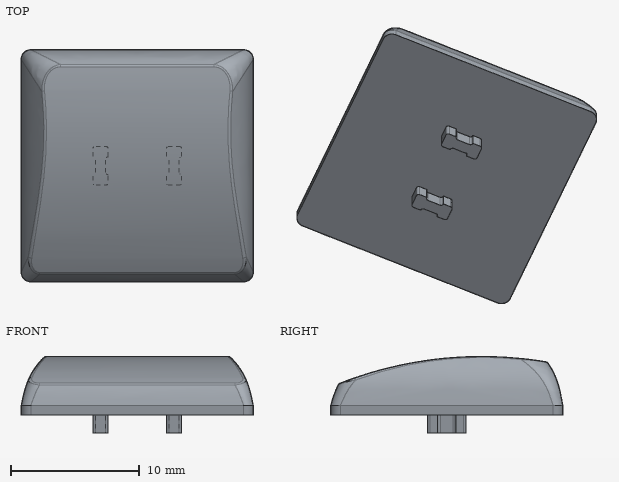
import cadquery as cq
import math

CAP_SIZE = 18.0
SKIRT_HEIGHT = 0.75
SKIRT_CORNER_RADIUS = 0.75

WALL_LEAN = 0.203
WALL_CURL = 0.0196
FRONT_LEAN_FACTOR = 1.45
BACK_LEAN_FACTOR = 0.85
CORNER_GROWTH = 0.7
SECTION_HEIGHTS = (0.0, 1.3, 2.6, 3.9)

CROWN_HEIGHT = 4.55
CROWN_RADIUS = 30.0
CROWN_CENTER_Y = 2.7
CROWN_EDGE_RADIUS = 0.3

PRONG_SPACING = 5.7
PRONG_WIDTH = 1.2
PRONG_LENGTH = 3.0
PRONG_HEIGHT = 1.4
PRONG_CORNER_RADIUS = 0.2
WAIST_LENGTH = 1.4
WAIST_DEPTH = 0.2


def wall_section(height):
    """Rounded rectangle of the domed walls at a height above the skirt."""
    inset = WALL_LEAN * height + WALL_CURL * height**3
    front_inset = FRONT_LEAN_FACTOR * inset
    back_inset = BACK_LEAN_FACTOR * inset
    return (
        cq.Sketch()
        .rect(CAP_SIZE - 2 * inset, CAP_SIZE - front_inset - back_inset)
        .vertices()
        .fillet(SKIRT_CORNER_RADIUS + CORNER_GROWTH * inset)
        .moved(cq.Location(cq.Vector(0, (front_inset - back_inset) / 2, SKIRT_HEIGHT + height)))
    )


def make_skirt():
    outline = cq.Sketch().rect(CAP_SIZE, CAP_SIZE).vertices().fillet(SKIRT_CORNER_RADIUS)
    return cq.Workplane("XY").placeSketch(outline).extrude(SKIRT_HEIGHT)


def make_dome():
    sections = [wall_section(height) for height in SECTION_HEIGHTS]
    walls = cq.Workplane("XY").placeSketch(*sections).loft()
    crown = (
        cq.Workplane("YZ")
        .center(CROWN_CENTER_Y, CROWN_HEIGHT - CROWN_RADIUS)
        .circle(CROWN_RADIUS)
        .extrude(CAP_SIZE / 2, both=True)
    )
    dome = walls.intersect(crown)
    return dome.faces(">Z").edges().fillet(CROWN_EDGE_RADIUS)


def make_prong(center_x):
    """Rounded bar, narrowed on both flanks by a waist with concave ends."""
    bar = (
        cq.Workplane("XY")
        .center(center_x, 0)
        .rect(PRONG_WIDTH, PRONG_LENGTH)
        .extrude(-PRONG_HEIGHT)
        .edges("|Z")
        .fillet(PRONG_CORNER_RADIUS)
    )
    flank_x = PRONG_WIDTH / 2
    half_waist = WAIST_LENGTH / 2
    half_floor = half_waist - WAIST_DEPTH
    arc_offset = WAIST_DEPTH * math.sqrt(0.5)
    for side in (-1, 1):
        floor_x = center_x + side * (flank_x - WAIST_DEPTH)
        outer_x = center_x + side * flank_x
        arc_x = outer_x - side * arc_offset
        waist = (
            cq.Workplane("XY")
            .moveTo(outer_x, -half_waist)
            .threePointArc((arc_x, -half_floor - arc_offset), (floor_x, -half_floor))
            .lineTo(floor_x, half_floor)
            .threePointArc((arc_x, half_floor + arc_offset), (outer_x, half_waist))
            .close()
            .extrude(-PRONG_HEIGHT)
        )
        bar = bar.cut(waist)
    return bar


result = make_skirt().union(make_dome())
for prong_x in (-PRONG_SPACING / 2, PRONG_SPACING / 2):
    result = result.union(make_prong(prong_x))